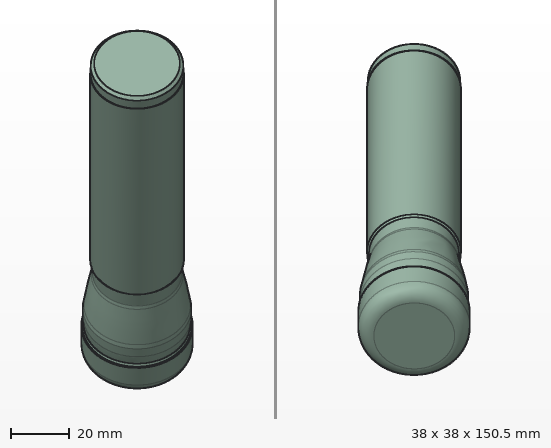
import cadquery as cq

total_height = 150.5
cap_height = 14.0
rim_height = 1.4
rim_chamfer = 0.3
swell_z = 19.4
band_top_z = 23.5
flare_bottom_z = 25.3
flare_top_z = 40.8
neck_bottom_z = 42.1
grip_bottom_z = 48.7
tip_bottom_z = 145.3

cap_diameter = 38.0
cap_radius = cap_diameter / 2
rim_bottom_radius = 18.7
rim_top_radius = 18.2
head_radius = 18.5
flare_bottom_radius = 18.2
flare_top_radius = 15.6
neck_radius = 15.3
grip_diameter = 32.0
grip_radius = grip_diameter / 2
tip_radius = 15.8

bow = 0.2
cap_fillet = 5.3
grip_chamfer = 0.8
tip_chamfer_height = 1.0
tip_chamfer_width = 1.2

rim_top_z = cap_height + rim_height
swell_mid_radius = (head_radius + rim_top_radius) / 2 + bow
flare_mid_radius = (flare_bottom_radius + flare_top_radius) / 2 + bow


def revolve_about_z(profile):
    """Revolve a closed XZ half-profile around Z, with its seam on the -X side."""
    solid = profile.close().revolve(360, (0, 0, 0), (0, 1, 0))
    return solid.rotate((0, 0, 0), (0, 0, 1), 180)


def make_end_cap():
    """Round cap with a filleted bottom and a bevelled, sloped rim that meets the body."""
    profile = (
        cq.Workplane("XZ")
        .lineTo(cap_radius, 0)
        .lineTo(cap_radius, cap_height)
        .lineTo(rim_bottom_radius, cap_height + rim_chamfer)
        .lineTo(rim_top_radius, rim_top_z)
        .lineTo(0, rim_top_z)
    )
    return revolve_about_z(profile).faces("<Z").edges().fillet(cap_fillet)


def make_body():
    """Flared head, recessed neck, long grip and stepped tip."""
    profile = (
        cq.Workplane("XZ")
        .moveTo(0, rim_top_z)
        .lineTo(rim_top_radius, rim_top_z)
        .threePointArc((swell_mid_radius, (rim_top_z + swell_z) / 2), (head_radius, swell_z))
        .lineTo(head_radius, band_top_z)
        .lineTo(flare_bottom_radius, flare_bottom_z)
        .threePointArc(
            (flare_mid_radius, (flare_bottom_z + flare_top_z) / 2),
            (flare_top_radius, flare_top_z),
        )
        .lineTo(neck_radius, neck_bottom_z)
        .lineTo(neck_radius, grip_bottom_z - grip_chamfer)
        .lineTo(grip_radius, grip_bottom_z)
        .lineTo(grip_radius, tip_bottom_z)
        .lineTo(tip_radius, tip_bottom_z)
        .lineTo(tip_radius, total_height - tip_chamfer_height)
        .lineTo(tip_radius - tip_chamfer_width, total_height)
        .lineTo(0, total_height)
    )
    return revolve_about_z(profile)


end_cap = make_end_cap()
body = make_body()

result = cq.Compound.makeCompound([end_cap.val(), body.val()])